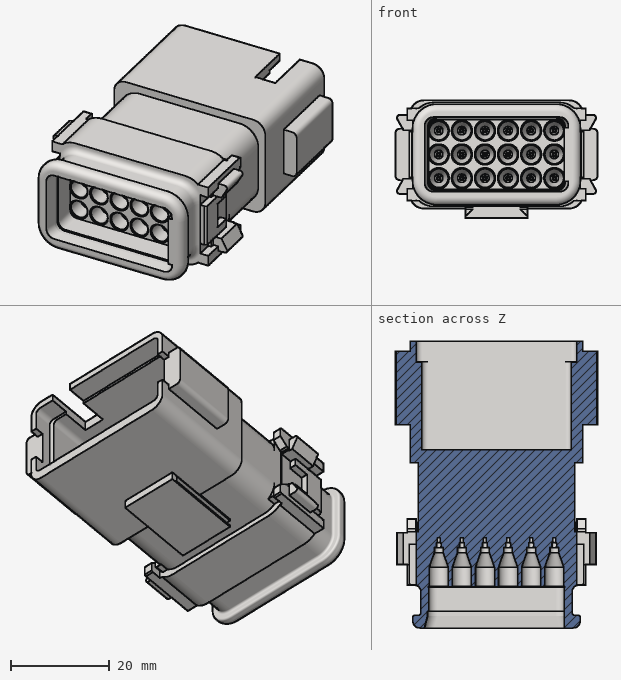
import cadquery as cq

LENGTH = 58.26
OVERALL_WIDTH = 41.1

RIM_WIDTH, RIM_HEIGHT, RIM_CORNER = 34.1, 20.4, 4.9
RIM_THICKNESS = 2.65
RIM_FRONT_ROUND = 1.5
RIM_BACK_ROUND = 0.45
NECK_WIDTH, NECK_HEIGHT, NECK_CORNER = 30.8, 17.2, 3.7
NECK_RIM_FILLET = 0.5
NECK_COLLAR_FILLET = 1.35
POCKET_WIDTH, POCKET_HEIGHT, POCKET_CORNER = 27.45, 14.1, 1.6
POCKET_DEPTH = 8.35
MOUTH_WIDTH, MOUTH_HEIGHT, MOUTH_CORNER = 29.2, 15.2, 1.9
SEAT_WIDTH, SEAT_HEIGHT = 27.95, 14.8
SEAT_START, SEAT_END = 2.45, 3.42
KEY_HEIGHT = 10.9

CONTACT_COLUMNS, CONTACT_ROWS = 6, 3
COLUMN_PITCH, ROW_PITCH = 4.69, 4.82
LIP_DIAMETER, CONTACT_DIAMETER, BORE_DIAMETER = 4.22, 3.8, 1.7
INNER_BORE_DIAMETER, TIP_DIAMETER = 0.9, 0.5
LIP_DEPTH = 0.2
CONTACT_DEPTH = 4.0
CONE_DEPTH = 3.0
BORE_STEP = 1.0

COLLAR_START, COLLAR_END = 8.75, 19.6
COLLAR_WIDTH, COLLAR_HEIGHT, COLLAR_CORNER = 34.3, 21.1, 4.4
COLLAR_SIDE_WIDTH = 32.6

BODY_WIDTH, BODY_HEIGHT, BODY_CORNER = 31.9, 18.3, 4.35
CORNER_BLOCK_WIDTH = 1.65
CORNER_BLOCK_HEIGHT = 16.4
CORNER_BLOCK_END = 21.55
CORNER_BLOCK_CHAMFER = 0.4

SHELL_START = 33.55
SHELL_WIDTH, SHELL_HEIGHT, SHELL_CORNER = 35.1, 22.0, 2.8
SHELL_WALL = 2.4
SHELL_MOUTH_WALL, SHELL_MOUTH_SIDE_WALL = 1.7, 1.3
SHELL_MOUTH_DEPTH = 4.2
SHELL_CAVITY_CORNER = 1.1
SHELL_CAVITY_DEPTH = 22.0
SIDE_NOTCH_HEIGHT, SIDE_NOTCH_DEPTH = 8.1, 2.0
KEY_SLOT_LEFT, KEY_SLOT_WIDTH, KEY_SLOT_LENGTH = 7.2, 4.65, 10.25

SIDE_BLOCK_LENGTH, SIDE_BLOCK_HEIGHT, SIDE_BLOCK_ROUND = 15.0, 10.5, 1.0

ARM_TOP, ARM_BAR_BOTTOM, ARM_BOTTOM = 9.37, 6.98, 4.9
ARM_OUTER_X = 18.15
ARM_END = 22.2
ARM_ROOT_X = 15.0
ARM_TIP_CHAMFER_Y, ARM_TIP_CHAMFER_Z = 0.4, 0.2
ARM_SLOPE_START = 20.2
ARM_SLOPE_BOTTOM = 5.45
HOOK_START, HOOK_END = 12.9, 19.4
GUSSET_OUTER_X, GUSSET_START = 17.0, 12.1
HOOK_OUTER_X, HOOK_TOE_X = 20.2, 18.9
HOOK_TOP, HOOK_SLOPE_TOP = 8.05, 7.25
HOOK_NOSE_X, HOOK_NOSE_Z = 20.05, 7.85
HOOK_ROUND_START_X = 19.6
PLATE_OUTER_X = 17.75
PLATE_HEIGHT, PLATE_END = 9.3, 17.05
PLATE_NOTCH_HEIGHT, PLATE_NOTCH_DEPTH = 5.6, 3.6
PLATE_CHAMFER_DEPTH, PLATE_CHAMFER_WIDTH = 0.3, 0.55

MOUNT_BOTTOM, MOUNT_FOOT_TOP = -12.95, -10.75
MOUNT_START, MOUNT_END = 24.1, 42.1
MOUNT_WIDTH, MOUNT_WEB_WIDTH = 12.6, 9.6
MOUNT_GROOVE_END = 40.75
MOUNT_GROOVE_TOP, MOUNT_GROOVE_BOTTOM = -11.12, -12.55

SIDE_X = COLLAR_SIDE_WIDTH / 2
SIDES = (-1, 1)
SELECT_MARGIN = 0.1


def section(start):
    """Workplane across the connector at the given Y."""
    return cq.Workplane("XZ", origin=(0, start, 0))


def rounded_bar(width, height, corner, start, end):
    """Rounded rectangle swept along Y from start to end."""
    bar = section(start).rect(width, height).extrude(start - end)
    return bar.edges("|Y").fillet(corner)


def block(x_range, y_range, z_range):
    """Axis-aligned box between the given limits."""
    (x0, x1), (y0, y1), (z0, z1) = (sorted(limits) for limits in (x_range, y_range, z_range))
    return cq.Workplane("XY").box(x1 - x0, y1 - y0, z1 - z0, centered=False).translate((x0, y0, z0))


def make_rim():
    """Front rim, rounded on its front and back edges."""
    rim = rounded_bar(RIM_WIDTH, RIM_HEIGHT, RIM_CORNER, 0, RIM_THICKNESS)
    rim = rim.faces("<Y").edges().fillet(RIM_FRONT_ROUND)
    return rim.faces(">Y").edges().fillet(RIM_BACK_ROUND)


def neck_foot_edges(y):
    """Selector for the loop where the neck meets a wall at the given Y."""
    half_width = NECK_WIDTH / 2 + SELECT_MARGIN
    half_height = NECK_HEIGHT / 2 + SELECT_MARGIN
    return cq.selectors.BoxSelector(
        (-half_width, y - SELECT_MARGIN, -half_height), (half_width, y + SELECT_MARGIN, half_height))


def make_neck():
    """Neck with a small fillet at the rim and a cove that runs into the collar."""
    root_end = COLLAR_START + NECK_COLLAR_FILLET
    envelope_width = COLLAR_WIDTH + 2 * NECK_COLLAR_FILLET
    envelope_height = COLLAR_HEIGHT + 2 * NECK_COLLAR_FILLET
    front_start = RIM_THICKNESS - RIM_BACK_ROUND
    neck = rounded_bar(NECK_WIDTH, NECK_HEIGHT, NECK_CORNER, RIM_THICKNESS, COLLAR_START)
    root = section(COLLAR_START).rect(envelope_width, envelope_height).extrude(COLLAR_START - root_end)
    front = section(front_start).rect(envelope_width, envelope_height).extrude(front_start - RIM_THICKNESS)
    neck = neck.union(root).union(front)
    neck = neck.edges(neck_foot_edges(COLLAR_START)).fillet(NECK_COLLAR_FILLET)
    neck = neck.edges(neck_foot_edges(RIM_THICKNESS)).fillet(NECK_RIM_FILLET)
    return neck.intersect(make_collar(RIM_THICKNESS, COLLAR_START))


def make_collar(start, end):
    """Rounded collar section with its two sides cut flat."""
    collar = rounded_bar(COLLAR_WIDTH, COLLAR_HEIGHT, COLLAR_CORNER, start, end)
    return collar.intersect(section(start).rect(COLLAR_SIDE_WIDTH, COLLAR_HEIGHT).extrude(start - end))


def make_body():
    """Rounded body with short blocks filling its corners behind the collar."""
    body = rounded_bar(BODY_WIDTH, BODY_HEIGHT, BODY_CORNER, COLLAR_START, SHELL_START)
    length = CORNER_BLOCK_END - COLLAR_START
    corners = section(COLLAR_START).rect(BODY_WIDTH, CORNER_BLOCK_HEIGHT).extrude(-length)
    corners = corners.edges("|Y").chamfer(CORNER_BLOCK_CHAMFER)
    gap = BODY_WIDTH - 2 * CORNER_BLOCK_WIDTH
    return body.union(corners.cut(section(COLLAR_START).rect(gap, CORNER_BLOCK_HEIGHT).extrude(-length)))


def make_shell():
    """Mating shell with a rounded block standing out on each side."""
    shell = rounded_bar(SHELL_WIDTH, SHELL_HEIGHT, SHELL_CORNER, SHELL_START, LENGTH)
    blocks_end = LENGTH - SIDE_NOTCH_DEPTH
    blocks = section(blocks_end - SIDE_BLOCK_LENGTH).rect(OVERALL_WIDTH, SIDE_BLOCK_HEIGHT)
    blocks = blocks.extrude(-SIDE_BLOCK_LENGTH).edges("|Y").fillet(SIDE_BLOCK_ROUND)
    return shell.union(blocks)


def make_shell_cuts():
    """Mating cavity with its mouth widened at the top and sides, the side notches and the key slot."""
    cavity_width = SHELL_WIDTH - 2 * SHELL_WALL
    cavity_height = SHELL_HEIGHT - 2 * SHELL_WALL
    mouth_width = SHELL_WIDTH - 2 * SHELL_MOUTH_SIDE_WALL
    mouth_start = LENGTH - SHELL_MOUTH_DEPTH
    cuts = rounded_bar(cavity_width, cavity_height, SHELL_CAVITY_CORNER, LENGTH - SHELL_CAVITY_DEPTH, LENGTH)
    mouth = block(
        (-mouth_width / 2, mouth_width / 2), (mouth_start, LENGTH),
        (-cavity_height / 2, SHELL_HEIGHT / 2 - SHELL_MOUTH_WALL))
    cuts = cuts.union(mouth.edges("|Y").fillet(SHELL_CAVITY_CORNER))
    notch_start = LENGTH - SIDE_NOTCH_DEPTH
    cuts = cuts.union(section(notch_start).rect(OVERALL_WIDTH, SIDE_NOTCH_HEIGHT).extrude(-SIDE_NOTCH_DEPTH))
    return cuts.union(block(
        (KEY_SLOT_LEFT, KEY_SLOT_LEFT + KEY_SLOT_WIDTH), (LENGTH - KEY_SLOT_LENGTH, LENGTH),
        (0, SHELL_HEIGHT / 2)))


def make_arm():
    """Upper left latch arm with its hook, reaching out to -X."""
    outline = [
        (COLLAR_START, ARM_TOP), (ARM_END, ARM_TOP), (ARM_END, ARM_BAR_BOTTOM),
        (ARM_SLOPE_START, ARM_SLOPE_BOTTOM), (COLLAR_END, ARM_SLOPE_BOTTOM), (COLLAR_END, ARM_BOTTOM),
        (HOOK_START, ARM_BOTTOM), (HOOK_START, ARM_BAR_BOTTOM), (COLLAR_START, ARM_BAR_BOTTOM),
    ]
    arm = cq.Workplane("YZ", origin=(-ARM_OUTER_X, 0, 0)).polyline(outline).close()
    arm = arm.extrude(ARM_OUTER_X - SIDE_X)
    arm = arm.faces(">Y").edges(">Z").chamfer(ARM_TIP_CHAMFER_Y, ARM_TIP_CHAMFER_Z)
    root = block((-ARM_OUTER_X, -ARM_ROOT_X), (COLLAR_START, COLLAR_END), (ARM_BAR_BOTTOM, ARM_TOP))
    hook = (
        section(HOOK_START)
        .moveTo(-SIDE_X, HOOK_TOP)
        .lineTo(-HOOK_ROUND_START_X, HOOK_TOP)
        .threePointArc((-HOOK_NOSE_X, HOOK_NOSE_Z), (-HOOK_OUTER_X, HOOK_SLOPE_TOP))
        .lineTo(-HOOK_TOE_X, ARM_BOTTOM)
        .lineTo(-SIDE_X, ARM_BOTTOM)
        .close()
        .extrude(HOOK_START - HOOK_END)
    )
    gusset = block((-GUSSET_OUTER_X, -SIDE_X), (GUSSET_START, HOOK_START), (ARM_BOTTOM, ARM_BAR_BOTTOM))
    return arm.union(root).union(gusset).union(hook)


def make_plate():
    """Left latch plate, a U open to the rear, chamfered along its front edge."""
    notch_start = PLATE_END - PLATE_NOTCH_DEPTH
    half_height = PLATE_HEIGHT / 2
    half_notch = PLATE_NOTCH_HEIGHT / 2
    outline = [
        (-SIDE_X, COLLAR_START), (-PLATE_OUTER_X + PLATE_CHAMFER_WIDTH, COLLAR_START),
        (-PLATE_OUTER_X, COLLAR_START + PLATE_CHAMFER_DEPTH), (-PLATE_OUTER_X, PLATE_END),
        (-SIDE_X, PLATE_END),
    ]
    plate = cq.Workplane("XY", origin=(0, 0, -half_height)).polyline(outline).close().extrude(PLATE_HEIGHT)
    return plate.cut(block((-PLATE_OUTER_X, -SIDE_X), (notch_start, PLATE_END), (-half_notch, half_notch)))


def make_latches():
    """Both latches: a plate between two mirrored arms on each side."""
    upper = make_arm()
    left = make_plate().union(upper).union(upper.mirror("XY"))
    return left.union(left.mirror("YZ"))


def make_mount():
    """Dovetail mount: a wide foot on a narrower web, undercut along both sides."""
    half_web = MOUNT_WEB_WIDTH / 2
    half_width = MOUNT_WIDTH / 2
    web = block((-half_web, half_web), (MOUNT_START, SHELL_START), (MOUNT_FOOT_TOP, 0))
    foot = block((-half_width, half_width), (MOUNT_START, MOUNT_END), (MOUNT_BOTTOM, MOUNT_FOOT_TOP))
    for side in SIDES:
        outline = [
            (side * half_width, MOUNT_GROOVE_TOP),
            (side * half_web, MOUNT_GROOVE_TOP),
            (side * half_width, MOUNT_GROOVE_BOTTOM),
        ]
        groove = section(MOUNT_START).polyline(outline).close().extrude(MOUNT_START - MOUNT_GROOVE_END)
        foot = foot.cut(groove)
    return web.union(foot)


def make_pocket():
    """Front seal pocket: tapered mouth, short seat and straight walls, less the key on its right side."""
    mouth = section(0).placeSketch(
        cq.Sketch().rect(MOUTH_WIDTH, MOUTH_HEIGHT).vertices().fillet(MOUTH_CORNER),
        cq.Sketch().rect(SEAT_WIDTH, SEAT_HEIGHT).vertices().fillet(MOUTH_CORNER)
        .moved(cq.Location(cq.Vector(0, 0, -SEAT_START))),
    ).loft()
    seat = rounded_bar(SEAT_WIDTH, SEAT_HEIGHT, MOUTH_CORNER, SEAT_START, SEAT_END)
    key = block((POCKET_WIDTH / 2, MOUTH_WIDTH / 2), (0, POCKET_DEPTH), (-KEY_HEIGHT / 2, KEY_HEIGHT / 2))
    pocket = rounded_bar(POCKET_WIDTH, POCKET_HEIGHT, POCKET_CORNER, 0, POCKET_DEPTH)
    return pocket.union(mouth).union(seat).cut(key)


def make_contact_cavities():
    """Grid of stepped contact cavities in the pocket floor."""
    cone_start = POCKET_DEPTH + CONTACT_DEPTH
    cone_end = cone_start + CONE_DEPTH
    profile = [
        (0, POCKET_DEPTH), (LIP_DIAMETER / 2, POCKET_DEPTH),
        (CONTACT_DIAMETER / 2, POCKET_DEPTH + LIP_DEPTH), (CONTACT_DIAMETER / 2, cone_start),
        (BORE_DIAMETER / 2, cone_end), (BORE_DIAMETER / 2, cone_end + BORE_STEP),
        (INNER_BORE_DIAMETER / 2, cone_end + BORE_STEP), (INNER_BORE_DIAMETER / 2, cone_end + 2 * BORE_STEP),
        (TIP_DIAMETER / 2, cone_end + 2 * BORE_STEP), (TIP_DIAMETER / 2, cone_end + 3 * BORE_STEP),
        (0, cone_end + 3 * BORE_STEP),
    ]
    cavity = cq.Workplane("XY").polyline(profile).close().revolve(360, (0, 0, 0), (0, 1, 0)).val()
    left = -COLUMN_PITCH * (CONTACT_COLUMNS - 1) / 2
    bottom = -ROW_PITCH * (CONTACT_ROWS - 1) / 2
    places = [
        (left + column * COLUMN_PITCH, 0, bottom + row * ROW_PITCH)
        for column in range(CONTACT_COLUMNS)
        for row in range(CONTACT_ROWS)
    ]
    return cq.Workplane("XY").pushPoints(places).eachpoint(lambda place: cavity.moved(place))


result = (
    make_body()
    .union(make_collar(COLLAR_START, COLLAR_END))
    .union(make_rim())
    .union(make_neck())
    .union(make_shell())
    .union(make_latches())
    .union(make_mount())
    .cut(make_shell_cuts())
    .cut(make_pocket())
    .cut(make_contact_cavities())
)